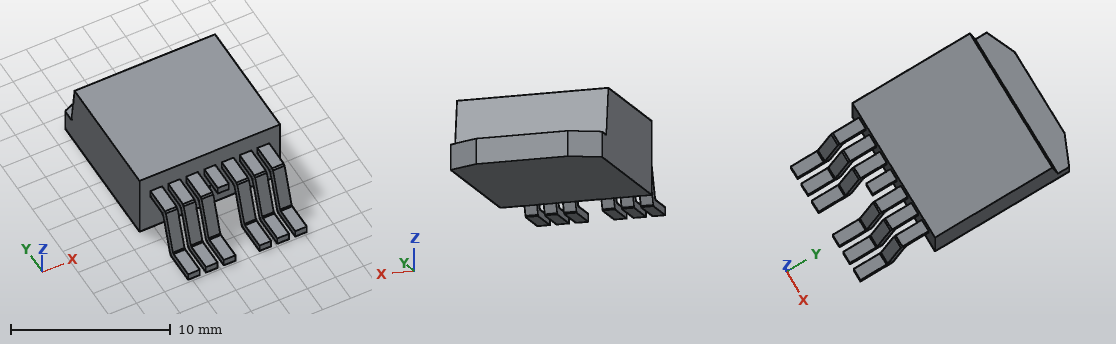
import cadquery as cq
import math

width = 10.0
length = 15.67
height = 4.8

tab_overhang = 1.7
tab_thickness = 1.65
tab_corner_x = 1.97
tab_corner_y = 0.86

lead_reach = 4.98
lead_thickness = 0.52
lead_width = 0.83
lead_pitch = 1.27
lead_top = 3.43
leads_per_side = 3
shoulder_length = 2.02
lead_lean = math.radians(18.5)
upper_bend_radius = 0.36
lower_bend_radius = 0.25
bend_facets = 3

stub_width = 0.78
stub_length = 1.79

back_setback = 0.4

pit_diameter = 0.08
pit_depth = 0.08
pit_drop = 0.08

back_y = length / 2
body_front_y = lead_reach - length / 2
body_back_y = back_y - tab_overhang


def make_base():
    """Lower slab that ends in the tab with its two cut corners."""
    base_length = length - lead_reach
    slab = cq.Workplane("XY").box(width, base_length, tab_thickness, centered=(True, False, False))
    slab = slab.translate((0, body_front_y, 0))
    for side in (-1, 1):
        corner = (
            cq.Workplane("XY")
            .moveTo(side * width / 2, back_y)
            .lineTo(side * (width / 2 - tab_corner_x), back_y)
            .lineTo(side * width / 2, back_y - tab_corner_y)
            .close()
            .extrude(tab_thickness)
        )
        slab = slab.cut(corner)
    return slab


def make_body():
    """Upper molded block whose back face leans forward."""
    profile = [
        (body_front_y, tab_thickness),
        (body_back_y, tab_thickness),
        (body_back_y - back_setback, height),
        (body_front_y, height),
    ]
    return cq.Workplane("YZ").polyline(profile).close().extrude(width / 2, both=True)


def bend_offsets(radius):
    """Points of a faceted arc as (y, z) offsets from the corner it rounds.

    The arc turns from level, heading toward -Y, down to the slope of the leaning leg.
    """
    turn = math.pi / 2 - lead_lean
    setback = radius * math.tan(turn / 2)
    angles = [turn * step / bend_facets for step in range(bend_facets + 1)]
    return [(setback - radius * math.sin(a), -radius * (1 - math.cos(a))) for a in angles]


def upper_bend(corner_y, corner_z):
    """Points that round a corner from the level shoulder into the leg."""
    return [(corner_y + dy, corner_z + dz) for dy, dz in bend_offsets(upper_bend_radius)]


def lower_bend(corner_y, corner_z):
    """Points that round a corner from the leg into the level foot."""
    return [(corner_y - dy, corner_z - dz) for dy, dz in reversed(bend_offsets(lower_bend_radius))]


def make_bent_lead(center_x):
    """Gull-wing lead of constant thickness with faceted bends."""
    slope = math.tan(lead_lean)
    leg_span = lead_thickness / math.cos(lead_lean)
    lead_bottom = lead_top - lead_thickness
    tip_y = -length / 2
    outer_top_y = body_front_y - shoulder_length
    outer_foot_y = outer_top_y - slope * (lead_top - lead_thickness)
    inner_top_y = outer_top_y + leg_span - slope * lead_thickness
    inner_foot_y = outer_top_y + leg_span - slope * lead_top
    profile = [
        (body_front_y, lead_top),
        *upper_bend(outer_top_y, lead_top),
        *lower_bend(outer_foot_y, lead_thickness),
        (tip_y, lead_thickness),
        (tip_y, 0),
        *reversed(lower_bend(inner_foot_y, 0)),
        *reversed(upper_bend(inner_top_y, lead_bottom)),
        (body_front_y, lead_bottom),
    ]
    lead = cq.Workplane("YZ").polyline(profile).close().extrude(lead_width / 2, both=True)
    return lead.translate((center_x, 0, 0))


def make_stub():
    """Short straight center lead."""
    stub = cq.Workplane("XY").box(stub_width, stub_length, lead_thickness, centered=(True, False, False))
    return stub.translate((0, body_front_y - stub_length, lead_top - lead_thickness))


def make_pit():
    """Cutter for the tiny pit."""
    pit = cq.Workplane("XZ").circle(pit_diameter / 2).extrude(-pit_depth)
    return pit.translate((0, body_front_y, tab_thickness - pit_drop))


result = make_base().union(make_body()).union(make_stub())
for step in range(1, leads_per_side + 1):
    for side in (-1, 1):
        result = result.union(make_bent_lead(side * step * lead_pitch))
result = result.cut(make_pit())